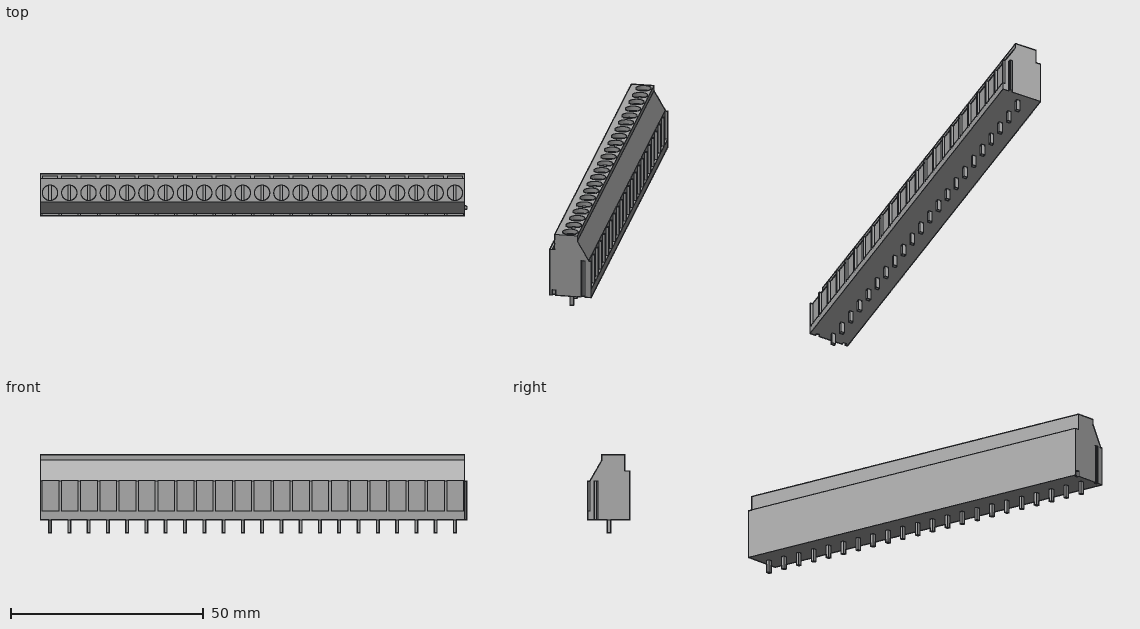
import cadquery as cq

total_length = 110.6
total_height = 20.2
depth = 11.0
pole_count = 22
rib_height = 0.7
pin_length = 3.3

housing_length = total_length - rib_height
housing_height = total_height - pin_length
pitch = housing_length / pole_count
shoulder_depth = 0.5
shoulder_height = 10.1
top_front_y = 3.7
slope_top_z = 15.5
ledge_depth = 1.3
ledge_height = 12.7

partition_width = 0.7
panel_offset = 0.1
panel_recess = 0.7
panel_bottom_z = 2.3

screw_y = 6.0
screw_radius = 2.0
screw_recess = 1.2
driver_slot_width = 0.7
driver_slot_depth = 0.7
marker_pocket_width = 4.0
marker_pocket_thickness = 0.7
marker_pocket_depth = 3.3
pin_width = 0.8
pin_thickness = 1.0
pin_y = 5.5
pin_root = 2.2

interlock_front_y = 1.7
interlock_width = 1.0
interlock_tip_length = 0.3
interlock_front_taper = 0.1
interlock_back_taper = 0.3

notch_width = 0.9
notch_height = 1.4
notch_depth = 0.7
notch_back_margin = 0.7


def box(x_size, y_size, z_size, x, y, z):
    """Box with its lowest corner at (x, y, z)."""
    return cq.Workplane("XY").box(x_size, y_size, z_size, centered=False).translate((x, y, z))


def make_housing():
    profile = [
        (0, 0),
        (depth, 0),
        (depth, ledge_height),
        (depth - ledge_depth, ledge_height),
        (depth - ledge_depth, housing_height),
        (top_front_y, housing_height),
        (top_front_y, slope_top_z),
        (shoulder_depth, shoulder_height),
        (0, shoulder_height),
    ]
    return cq.Workplane("YZ").polyline(profile).close().extrude(housing_length)


def make_panel_recess(pole_x):
    width = pitch - partition_width
    height = housing_height - panel_bottom_z
    return box(width, panel_recess, height, pole_x + panel_offset - width / 2, 0, panel_bottom_z)


def make_screw_recess(pole_x):
    """Round well above the screw head, with the driver slot across the head."""
    head_z = housing_height - screw_recess
    well = cq.Workplane("XY", origin=(pole_x, screw_y, head_z)).circle(screw_radius).extrude(screw_recess)
    slot = (
        cq.Workplane("XY", origin=(pole_x, screw_y, head_z - driver_slot_depth))
        .circle(screw_radius)
        .extrude(driver_slot_depth)
        .intersect(
            box(
                driver_slot_width, 2 * screw_radius, driver_slot_depth,
                pole_x - driver_slot_width / 2, screw_y - screw_radius, head_z - driver_slot_depth,
            )
        )
    )
    return well.union(slot)


def make_marker_pocket(pole_x):
    return box(
        marker_pocket_width, marker_pocket_thickness, marker_pocket_depth,
        pole_x - marker_pocket_width / 2, depth - ledge_depth, ledge_height - marker_pocket_depth,
    )


def make_pin(pole_x):
    """Solder pin, starting inside the housing so that the two join."""
    return box(
        pin_width, pin_thickness, pin_length + pin_root,
        pole_x - pin_width / 2, pin_y - pin_thickness / 2, -pin_length,
    )


def make_interlock(base_x):
    """Upright bar with its base at base_x and a narrowed tip towards +X."""
    back_y = interlock_front_y + interlock_width
    tip_x = base_x + rib_height
    neck_x = tip_x - interlock_tip_length
    profile = [
        (base_x, interlock_front_y),
        (neck_x, interlock_front_y),
        (tip_x, interlock_front_y + interlock_front_taper),
        (tip_x, back_y - interlock_back_taper),
        (neck_x, back_y),
        (base_x, back_y),
    ]
    return cq.Workplane("XY").polyline(profile).close().extrude(shoulder_height)


result = make_housing()
for pole in range(pole_count):
    pole_x = (pole + 0.5) * pitch
    result = result.cut(make_panel_recess(pole_x))
    result = result.cut(make_screw_recess(pole_x))
    result = result.cut(make_marker_pocket(pole_x))
    result = result.union(make_pin(pole_x))

result = result.cut(make_interlock(0)).union(make_interlock(housing_length))

notch_y = depth - notch_back_margin - notch_width
result = result.cut(box(notch_depth, notch_width, notch_height, 0, notch_y, 0))